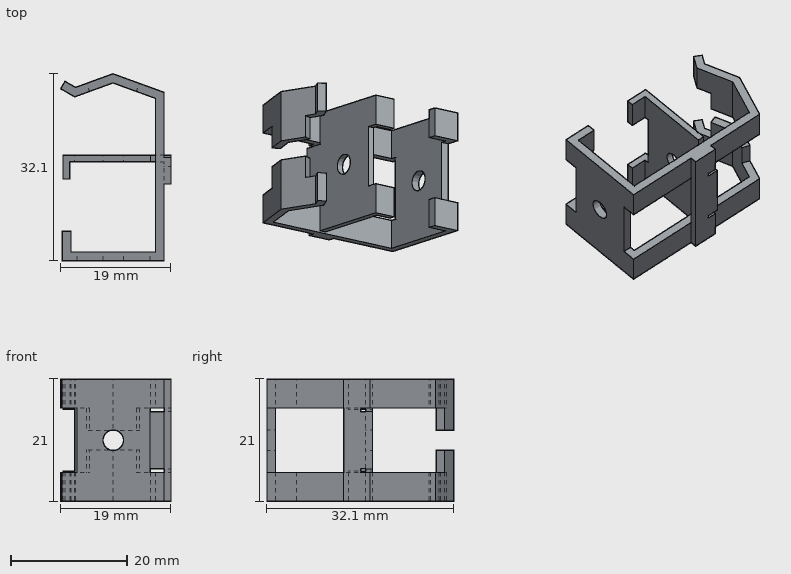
import cadquery as cq
import math

HEIGHT = 21.0
DEPTH = 32.15
WIDTH = 19.0
STRIP_HEIGHT = 5.0
FRAME_THICKNESS = 1.5
INSERT_THICKNESS = 1.2

OPENING_HEIGHT = HEIGHT - 2 * STRIP_HEIGHT
SPINE_OUTER_X = WIDTH - INSERT_THICKNESS
SPINE_INNER_X = SPINE_OUTER_X - FRAME_THICKNESS

FRONT_LEFT_X = 0.3
FRONT_HOOK_END_Y = 5.1
FRONT_WEB_LEFT_X = 2.83
FRONT_WEB_RIGHT_X = 15.35
HOLE_DIAMETER = 3.47
HOLE_X = (FRONT_LEFT_X + SPINE_OUTER_X) / 2

CLAW_SLOPE = math.radians(20)
TIP_SLOPE = math.radians(30)
APEX_X = 9.0
VALLEY_X = 2.57
FLAP_REACH = 4.82
FLAP_GAP = 3.38

DIVIDER_BACK_Y = 18.17
DIVIDER_FRONT_Y = DIVIDER_BACK_Y - INSERT_THICKNESS
DIVIDER_LEFT_X = 0.42
DIVIDER_RIGHT_X = 15.45
DIVIDER_WEB_LEFT_X = 2.4
DIVIDER_HOOK_END_Y = 14.05
DIVIDER_HOOK_HEIGHT = 5.2
TONGUE_HEIGHT = 9.87
PAD_BACK_Y = 17.72
PAD_FRONT_Y = 13.2
RELIEF_END_Y = 16.18


def box(x_min, x_max, y_min, y_max, height):
    """Box between the given X and Y limits, centred on Z = 0."""
    width = x_max - x_min
    depth = y_max - y_min
    return cq.Workplane("XY").box(width, depth, height).translate(
        ((x_min + x_max) / 2, (y_min + y_max) / 2, 0)
    )


def slope_point(side, distance, inset):
    """Point on a roof slope: side is -1 (left) or 1 (right) of the apex,
    distance runs down the outer face and inset goes into the sheet."""
    along_x = side * math.cos(CLAW_SLOPE)
    inward_x = -side * math.sin(CLAW_SLOPE)
    return (
        APEX_X + distance * along_x + inset * inward_x,
        DEPTH - distance * math.sin(CLAW_SLOPE) - inset * math.cos(CLAW_SLOPE),
    )


APEX_OUTER = (APEX_X, DEPTH)
APEX_INNER = (APEX_X, DEPTH - FRAME_THICKNESS / math.cos(CLAW_SLOPE))


def make_frame():
    """Front hook, front wall, spine and claw as one bent band."""
    slope = math.tan(CLAW_SLOPE)
    spine_outer_y = DEPTH - (SPINE_OUTER_X - APEX_X) * slope
    spine_inner_y = APEX_INNER[1] - (SPINE_INNER_X - APEX_X) * slope
    valley_outer_y = DEPTH - (APEX_X - VALLEY_X) * slope

    miter = FRAME_THICKNESS / (1 + math.cos(CLAW_SLOPE + TIP_SLOPE))
    valley_inner_x = VALLEY_X - miter * (math.sin(TIP_SLOPE) - math.sin(CLAW_SLOPE))
    valley_inner_y = valley_outer_y - miter * (math.cos(TIP_SLOPE) + math.cos(CLAW_SLOPE))
    tip_inner_y = valley_inner_y + valley_inner_x * math.tan(TIP_SLOPE)
    tip_outer = (
        FRAME_THICKNESS * math.sin(TIP_SLOPE),
        tip_inner_y + FRAME_THICKNESS * math.cos(TIP_SLOPE),
    )

    outline = [
        (FRONT_LEFT_X, 0),
        (SPINE_OUTER_X, 0),
        (SPINE_OUTER_X, spine_outer_y),
        APEX_OUTER,
        (VALLEY_X, valley_outer_y),
        tip_outer,
        (0, tip_inner_y),
        (valley_inner_x, valley_inner_y),
        APEX_INNER,
        (SPINE_INNER_X, spine_inner_y),
        (SPINE_INNER_X, FRAME_THICKNESS),
        (FRONT_LEFT_X + FRAME_THICKNESS, FRAME_THICKNESS),
        (FRONT_LEFT_X + FRAME_THICKNESS, FRONT_HOOK_END_Y),
        (FRONT_LEFT_X, FRONT_HOOK_END_Y),
    ]
    band = cq.Workplane("XY").polyline(outline).close().extrude(HEIGHT / 2, both=True)
    strips = band.cut(box(0, WIDTH, 0, DEPTH, OPENING_HEIGHT))
    web = box(FRONT_WEB_LEFT_X, FRONT_WEB_RIGHT_X, 0, FRAME_THICKNESS, HEIGHT)
    return strips.union(web).union(make_flaps())


def make_flaps():
    """Upper and lower flaps widening the claw strips around its apex."""
    outline = [
        APEX_OUTER,
        slope_point(1, FLAP_REACH, 0),
        slope_point(1, FLAP_REACH, FRAME_THICKNESS),
        APEX_INNER,
        slope_point(-1, FLAP_REACH, FRAME_THICKNESS),
        slope_point(-1, FLAP_REACH, 0),
    ]
    flaps = cq.Workplane("XY").polyline(outline).close().extrude(HEIGHT / 2, both=True)
    return flaps.cut(box(0, WIDTH, 0, DEPTH, FLAP_GAP))


def make_divider():
    """Hooked middle plate with a tongue reaching through the spine opening."""
    plate = box(DIVIDER_LEFT_X, DIVIDER_RIGHT_X, DIVIDER_FRONT_Y, DIVIDER_BACK_Y, HEIGHT)
    hook = box(
        DIVIDER_LEFT_X,
        DIVIDER_LEFT_X + INSERT_THICKNESS,
        DIVIDER_HOOK_END_Y,
        DIVIDER_BACK_Y,
        HEIGHT,
    )
    hook_gap = box(
        0, DIVIDER_WEB_LEFT_X, 0, DEPTH, HEIGHT - 2 * DIVIDER_HOOK_HEIGHT
    )
    tongue = box(DIVIDER_RIGHT_X, WIDTH, DIVIDER_FRONT_Y, DIVIDER_BACK_Y, TONGUE_HEIGHT)
    return plate.union(hook).cut(hook_gap).union(tongue)


def make_pad():
    """Pad on the outside of the spine, relieved above and below the tongue."""
    pad = box(SPINE_OUTER_X, WIDTH, PAD_FRONT_Y, PAD_BACK_Y, HEIGHT)
    relief = box(SPINE_OUTER_X, WIDTH, RELIEF_END_Y, PAD_BACK_Y, OPENING_HEIGHT)
    tongue_core = box(SPINE_OUTER_X, WIDTH, PAD_FRONT_Y, PAD_BACK_Y, TONGUE_HEIGHT)
    return pad.cut(relief).union(tongue_core)


hole = (
    cq.Workplane("XZ")
    .center(HOLE_X, 0)
    .circle(HOLE_DIAMETER / 2)
    .extrude(-DIVIDER_BACK_Y)
)

result = make_frame().union(make_divider()).union(make_pad()).cut(hole)